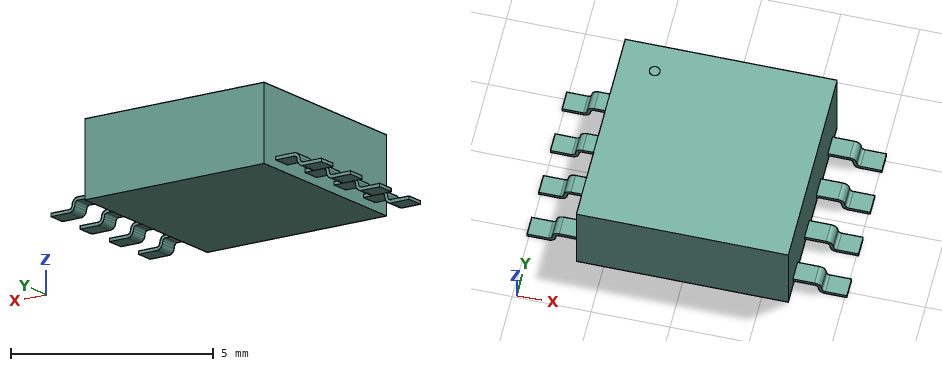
import cadquery as cq
import math

span_x = 8.1
height_z = 2.16

housing_x = 5.37
housing_y = 5.33
standoff = 0.065

lead_count_per_side = 4
lead_pitch = 1.27
lead_width = 0.51
lead_thickness = 0.09
lead_top_z = 0.37
foot_length = 0.54
bend_angle = 80.0
lower_bend_radius = 0.09
upper_bend_radius = 0.09

marker_diameter = 0.27
marker_depth = 0.05
marker_inset = 0.92

first_lead_y = lead_pitch * (lead_count_per_side - 1) / 2
marker_x = marker_inset - housing_x / 2
marker_y = first_lead_y


def make_marker():
    """Disc set flush into the top face beside pin 1."""
    return (
        cq.Workplane("XY", origin=(marker_x, marker_y, height_z - marker_depth))
        .circle(marker_diameter / 2)
        .extrude(marker_depth)
    )


def make_housing():
    """Plain block with a shallow recess for the marker."""
    block = (
        cq.Workplane("XY", origin=(0, 0, standoff))
        .rect(housing_x, housing_y)
        .extrude(height_z - standoff)
    )
    return block.cut(make_marker())


def make_lead(y_center):
    """Gull-wing lead on the -X side, ending flush against the housing."""
    slope = math.radians(bend_angle)
    lower_inner = lower_bend_radius
    lower_outer = lower_inner + lead_thickness
    upper_inner = upper_bend_radius
    upper_outer = upper_inner + lead_thickness

    bend_radius_sum = lower_inner + upper_outer
    rise = lead_top_z - lead_thickness
    riser_length = (rise - bend_radius_sum * (1 - math.cos(slope))) / math.sin(slope)
    run = bend_radius_sum * math.sin(slope) + riser_length * math.cos(slope)

    toe_x = -span_x / 2
    root_x = -housing_x / 2
    lower_x = toe_x + foot_length
    lower_z = lead_thickness + lower_inner
    upper_x = lower_x + run
    upper_z = lead_top_z - upper_outer

    def on_lower_bend(radius, angle):
        return (lower_x + radius * math.sin(angle), lower_z - radius * math.cos(angle))

    def on_upper_bend(radius, angle):
        return (upper_x - radius * math.sin(angle), upper_z + radius * math.cos(angle))

    profile = (
        cq.Workplane("XZ", origin=(0, y_center, 0))
        .moveTo(toe_x, 0)
        .lineTo(*on_lower_bend(lower_outer, 0))
        .threePointArc(on_lower_bend(lower_outer, slope / 2), on_lower_bend(lower_outer, slope))
        .lineTo(*on_upper_bend(upper_inner, slope))
        .threePointArc(on_upper_bend(upper_inner, slope / 2), on_upper_bend(upper_inner, 0))
        .lineTo(root_x, lead_top_z - lead_thickness)
        .lineTo(root_x, lead_top_z)
        .lineTo(*on_upper_bend(upper_outer, 0))
        .threePointArc(on_upper_bend(upper_outer, slope / 2), on_upper_bend(upper_outer, slope))
        .lineTo(*on_lower_bend(lower_inner, slope))
        .threePointArc(on_lower_bend(lower_inner, slope / 2), on_lower_bend(lower_inner, 0))
        .lineTo(toe_x, lead_thickness)
        .close()
    )
    return profile.extrude(lead_width / 2, both=True)


def make_leads():
    """A row of leads on the -X side and its mirror image on the +X side."""
    leads = []
    for index in range(lead_count_per_side):
        lead = make_lead(first_lead_y - index * lead_pitch)
        leads.append(lead.val())
        leads.append(lead.mirror("YZ").val())
    return leads


housing = make_housing()
marker = make_marker()
leads = make_leads()

result = cq.Compound.makeCompound([housing.val(), marker.val(), *leads])